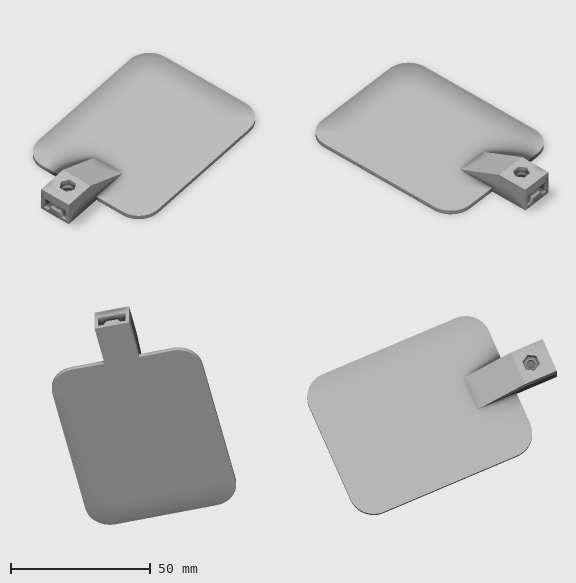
import cadquery as cq
import math

plate_width = 55.0
plate_length = 69.9
plate_thickness = 1.7
corner_radius = 9.0

total_length = 85.6
block_width = 12.7
block_height = 9.8
block_flat_length = 12.3
block_length = 30.8

slot_width = 10.1
slot_floor = 1.45
slot_ceiling = 6.1
slot_depth = 12.3
ridge_top = 3.25
ridge_top_width = 4.1
ridge_base_width = 6.25

screw_from_front = 7.3
screw_diameter = 3.2
nut_across_flats = 5.4
nut_depth = 2.5

disc_thickness = 0.4
disc_drop = 0.25

plate_front = total_length - plate_length


def make_plate():
    return (
        cq.Workplane("XY")
        .box(plate_width, plate_length, plate_thickness, centered=(True, False, False))
        .translate((0, plate_front, 0))
        .edges("|Z")
        .fillet(corner_radius)
    )


def make_block():
    """Block whose top slopes down to the plate's upper face."""
    return (
        cq.Workplane("YZ")
        .polyline([
            (0, 0),
            (block_length, 0),
            (block_length, plate_thickness),
            (block_flat_length, block_height),
            (0, block_height),
        ])
        .close()
        .extrude(block_width / 2, both=True)
    )


def make_slot():
    """Rectangular slot with the ridge left standing on its floor."""
    return (
        cq.Workplane("XZ")
        .polyline([
            (-slot_width / 2, slot_floor),
            (-ridge_base_width / 2, slot_floor),
            (-ridge_top_width / 2, ridge_top),
            (ridge_top_width / 2, ridge_top),
            (ridge_base_width / 2, slot_floor),
            (slot_width / 2, slot_floor),
            (slot_width / 2, slot_ceiling),
            (-slot_width / 2, slot_ceiling),
        ])
        .close()
        .extrude(-slot_depth)
    )


def make_screw_cut():
    """Hexagonal nut pocket above a round hole that ends at the slot."""
    nut_across_corners = nut_across_flats / math.cos(math.pi / 6)
    top = cq.Workplane("XY", origin=(0, screw_from_front, block_height))
    nut_pocket = top.polygon(6, nut_across_corners).extrude(-nut_depth)
    screw_hole = top.circle(screw_diameter / 2).extrude(slot_ceiling - block_height)
    return nut_pocket.union(screw_hole)


def make_closing_disc():
    return (
        cq.Workplane("XY", origin=(0, screw_from_front, slot_ceiling - disc_drop))
        .circle(screw_diameter / 2)
        .extrude(disc_thickness)
    )


body = make_plate().union(make_block())
result = body.cut(make_slot()).cut(make_screw_cut()).union(make_closing_disc())